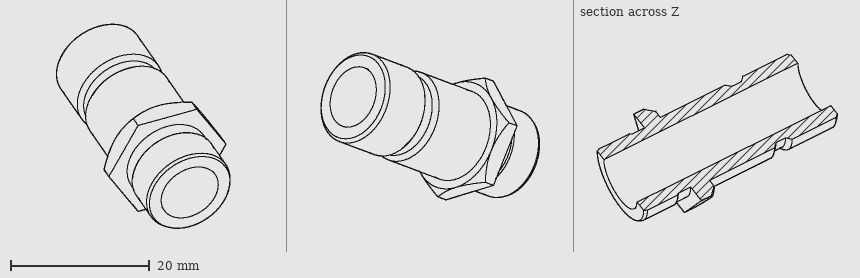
import cadquery as cq
import math

total_length = 33.0
hex_start = 22.0
hex_thickness = 3.0
hex_end = hex_start + hex_thickness
thread_start = 27.1
groove_floor_start = 8.7
groove_floor_end = 10.3

body_diameter = 13.5
groove_diameter = 12.1
relief_diameter = 12.7
thread_diameter = 13.157
bore_diameter = 9.0

across_flats = 16.0
across_corners = across_flats / math.cos(math.radians(30))

plug_chamfer = 0.5
thread_end_chamfer_length = 0.5
thread_chamfer_drop = (thread_diameter - relief_diameter) / 2
groove_flank_length = (body_diameter - groove_diameter) / 2


def revolve_about_x(profile):
    """Full revolution of a closed (x, radius) profile about the X axis."""
    return cq.Workplane("XY").polyline(profile).close().revolve(360, (0, 0, 0), (1, 0, 0))


def turned_body():
    """Solid of revolution about X: plug, locking groove, relief and thread blank."""
    body_r = body_diameter / 2
    groove_r = groove_diameter / 2
    relief_r = relief_diameter / 2
    thread_r = thread_diameter / 2
    profile = [
        (0, 0),
        (0, body_r - plug_chamfer),
        (plug_chamfer, body_r),
        (groove_floor_start - groove_flank_length, body_r),
        (groove_floor_start, groove_r),
        (groove_floor_end, groove_r),
        (groove_floor_end + groove_flank_length, body_r),
        (hex_start, body_r),
        (hex_start, relief_r),
        (thread_start, relief_r),
        (thread_start + thread_chamfer_drop, thread_r),
        (total_length - thread_end_chamfer_length, thread_r),
        (total_length, relief_r),
        (total_length, 0),
    ]
    return revolve_about_x(profile)


def hex_collar():
    """Wrench hexagon, corners on Y, with a 45 degree conical chamfer on the plug side."""
    prism = (
        cq.Workplane("YZ", origin=(hex_start, 0, 0))
        .polygon(6, across_corners)
        .extrude(hex_thickness)
    )
    flat_r = across_flats / 2
    corner_r = across_corners / 2
    cone_depth = corner_r - flat_r
    envelope_profile = [
        (hex_start, 0),
        (hex_start, flat_r),
        (hex_start + cone_depth, corner_r),
        (hex_end, corner_r),
        (hex_end, 0),
    ]
    return prism.intersect(revolve_about_x(envelope_profile))


def through_bore():
    """Plain bore along the whole length."""
    return cq.Workplane("YZ").circle(bore_diameter / 2).extrude(total_length)


result = turned_body().union(hex_collar()).cut(through_bore())